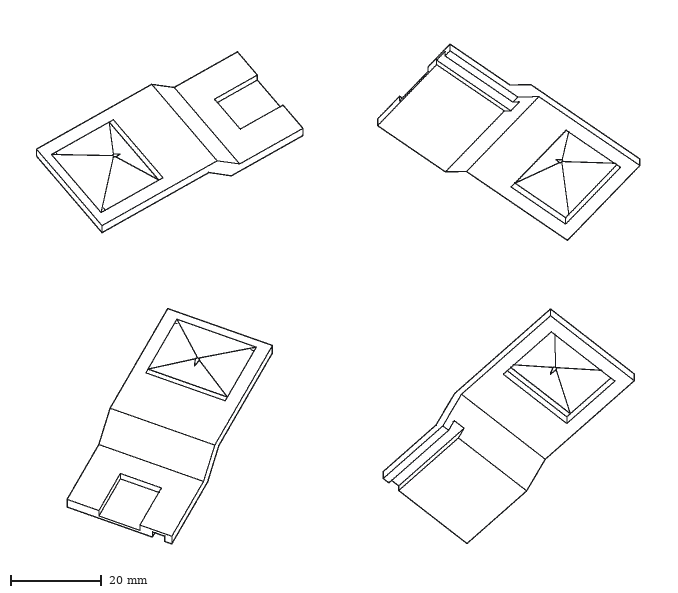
import cadquery as cq
import math

width = 25.4
length = 54.0
total_height = 11.25
rise = 6.0
upper_thickness = 2.7
lower_thickness = 2.75
upper_top = rise + upper_thickness

ramp_top_start = 30.95
ramp_top_end = 37.0
ramp_bottom_start = 28.7
ramp_bottom_end = 34.7

pocket_width = 9.95
pocket_length = 11.5
pocket_depth = 1.9

groove_width = 2.95
groove_offset = 1.75
groove_height = 1.85

hole_radius = 0.45
hole_y = 12.25
hole_point_y = 13.6

pyramid_width = 19.2
pyramid_front = 1.9
pyramid_back = 17.4
tip_y = 11.95
trimmed_height = total_height - upper_top
pyramid_height = trimmed_height * (tip_y - pyramid_front) / (hole_y - hole_radius - pyramid_front)

skin = 0.08

opening_shift = 1.15


def block(x, y, z, size_x, size_y, size_z):
    """Box with its lowest corner at (x, y, z)."""
    return cq.Workplane().box(size_x, size_y, size_z, centered=False).translate((x, y, z))


def pyramid(base_z):
    """The pyramid with its base at the given height."""
    left = (width - pyramid_width) / 2
    right = left + pyramid_width
    corners = [
        cq.Vector(left, pyramid_front, base_z),
        cq.Vector(right, pyramid_front, base_z),
        cq.Vector(right, pyramid_back, base_z),
        cq.Vector(left, pyramid_back, base_z),
    ]
    tip = cq.Vector(width / 2, tip_y, base_z + pyramid_height)
    outlines = [corners]
    for start, end in zip(corners, corners[1:] + corners[:1]):
        outlines.append([start, end, tip])
    faces = [cq.Face.makeFromWires(cq.Wire.makePolygon(points, close=True)) for points in outlines]
    return cq.Workplane(cq.Solid.makeSolid(cq.Shell.makeShell(faces)))


profile = [
    (0, rise),
    (ramp_bottom_start, rise),
    (ramp_bottom_end, 0),
    (length, 0),
    (length, lower_thickness),
    (ramp_top_end, lower_thickness),
    (ramp_top_start, upper_top),
    (0, upper_top),
]
body = cq.Workplane("YZ").polyline(profile).close().extrude(width)

pocket = block(
    (width - pocket_width) / 2,
    length - pocket_length,
    lower_thickness - pocket_depth,
    pocket_width,
    pocket_length,
    pocket_depth,
)
groove = block(groove_offset, 0, 0, groove_width, length, groove_height)
body = body.cut(pocket).cut(groove)

cavity_base = upper_top - skin
opening = block(
    (width - pyramid_width) / 2,
    pyramid_front + opening_shift,
    rise,
    pyramid_width,
    pyramid_back - pyramid_front,
    cavity_base - rise,
)
body = body.union(pyramid(upper_top)).cut(pyramid(cavity_base)).cut(opening)

point_distance = hole_point_y - hole_y
tangent_y = hole_radius**2 / point_distance
tangent_x = math.sqrt(hole_radius**2 - tangent_y**2)
teardrop = (
    cq.Workplane(origin=(width / 2, hole_y, 0))
    .moveTo(tangent_x, tangent_y)
    .lineTo(0, point_distance)
    .lineTo(-tangent_x, tangent_y)
    .threePointArc((0, -hole_radius), (tangent_x, tangent_y))
    .close()
    .extrude(upper_top + pyramid_height)
)
result = body.cut(teardrop)